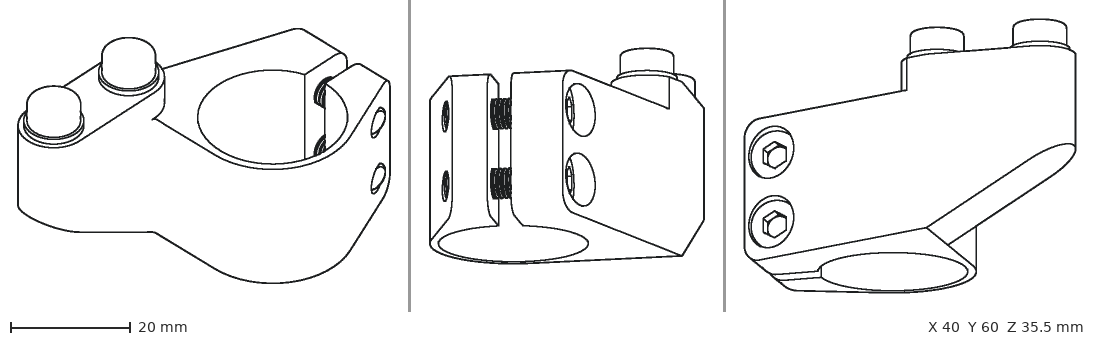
import cadquery as cq
import math

ring_x = 26.0
ring_outer_radius = 14.0
ring_bore_radius = 12.55
clamp_height = 24.5
clamp_back_y = 60.0
clamp_back_right_x = 32.0
slit_width = 4.0
back_corner_radius = 3.0

arm_width = 12.0
arm_height = 30.0
arm_radius = arm_width / 2
arm_front_y = arm_radius
arm_back_y = 24.0
side_lean_angle = 20.0
underside_angle = 30.0
side_blend_radius = 3.0
inner_corner_radius = 0.5
ring_y = arm_back_y + ring_outer_radius

collar_radius = 5.05
collar_height = 1.0
cap_radius = 4.5
cap_side_top = 4.55
cap_shoulder_radius = 4.1
cap_shoulder_top = 5.1
button_height = 5.5

screw_y = 54.65
screw_spacing = 12.0
screw_x = 13.0
head_radius = 4.25
head_height = 5.0
head_edge_radius = 0.55
hex_sides = 6
hex_width = 4.0
hex_depth = 2.5
hex_cone_depth = 0.9
thread_radius = 2.5
thread_root_radius = 2.1
shank_length = 16.0
thread_grooves = 19
thread_pitch = shank_length / (thread_grooves + 1)
neck_length = thread_pitch / 2
crest_width = 0.2
root_width = 0.2
flank_width = (thread_pitch - crest_width - root_width) / 2
counterbore_radius = 4.45

head_seat_x = screw_x + head_height
screw_heights = [clamp_height / 2 - screw_spacing / 2, clamp_height / 2 + screw_spacing / 2]


def ring_tangent_point():
    """Where the straight right flank from the back corner meets the ring's outer circle."""
    dx = clamp_back_right_x - ring_x
    dy = clamp_back_y - ring_y
    distance = math.hypot(dx, dy)
    angle = math.atan2(dy, dx) - math.acos(ring_outer_radius / distance)
    return (
        ring_x + ring_outer_radius * math.cos(angle),
        ring_y + ring_outer_radius * math.sin(angle),
    )


def make_footprint(height):
    """Outline of clamp and arm together, extruded from Z = 0."""
    lean = (clamp_back_y - arm_back_y) * math.tan(math.radians(side_lean_angle))
    ring_mid = ring_outer_radius * math.cos(math.pi / 4)
    footprint = (
        cq.Workplane("XY")
        .moveTo(0, arm_front_y)
        .threePointArc((arm_radius, arm_front_y - arm_radius), (arm_width, arm_front_y))
        .lineTo(arm_width, arm_back_y)
        .lineTo(ring_x, arm_back_y)
        .threePointArc((ring_x + ring_mid, ring_y - ring_mid), ring_tangent_point())
        .lineTo(clamp_back_right_x, clamp_back_y)
        .lineTo(lean, clamp_back_y)
        .lineTo(0, arm_back_y)
        .close()
        .extrude(height)
    )
    side_edge = cq.selectors.NearestToPointSelector((0, arm_back_y, height / 2))
    inner_edge = cq.selectors.NearestToPointSelector((arm_width, arm_back_y, height / 2))
    footprint = footprint.edges(side_edge).fillet(side_blend_radius)
    return footprint.edges(inner_edge).fillet(inner_corner_radius)


def make_raised_arm():
    """Round-ended arm at full height, trimmed by the leaning left side of the clamp."""
    straight_length = arm_back_y - arm_front_y
    stadium = (
        cq.Workplane("XY")
        .center(arm_radius, (arm_front_y + arm_back_y) / 2)
        .slot2D(straight_length + arm_width, arm_width, 90)
        .extrude(arm_height)
    )
    return stadium.intersect(make_footprint(arm_height))


def make_underside_wedge():
    """Material below the arm's sloping underside."""
    slope_rise = arm_back_y * math.tan(math.radians(underside_angle))
    return (
        cq.Workplane("YZ")
        .polyline([(arm_back_y, 0), (0, slope_rise), (0, 0)])
        .close()
        .extrude(arm_width + inner_corner_radius)
    )


def make_slit():
    """Gap between the two jaws, from the ring's centre out through the back."""
    return cq.Workplane("XY").box(
        slit_width, clamp_back_y - ring_y, clamp_height, centered=False
    ).translate((ring_x - slit_width, ring_y, 0))


def make_screw_bore(height):
    """Counterbored through hole for one clamp screw."""
    axis_start = cq.Workplane("YZ").center(screw_y, height)
    hole = axis_start.circle(thread_radius).extrude(ring_x + ring_outer_radius)
    counterbore = axis_start.circle(counterbore_radius).extrude(head_seat_x)
    return hole.union(counterbore)


def make_housing():
    clamp = make_footprint(clamp_height)
    clamp = clamp.faces(">Y").edges("|X").fillet(back_corner_radius)
    ring_bore = cq.Workplane("XY").center(ring_x, ring_y).circle(ring_bore_radius).extrude(clamp_height)
    body = clamp.union(make_raised_arm())
    body = body.cut(make_underside_wedge()).cut(ring_bore).cut(make_slit())
    for height in screw_heights:
        body = body.cut(make_screw_bore(height))
    return body


def make_button(y):
    """Collared round button with a domed top, standing on the arm."""
    dome_rise = button_height - cap_shoulder_top
    dome_radius = (cap_shoulder_radius**2 + dome_rise**2) / (2 * dome_rise)
    dome_mid_x = cap_shoulder_radius / 2
    dome_mid_z = button_height - dome_radius + math.sqrt(dome_radius**2 - dome_mid_x**2)
    return (
        cq.Workplane("XZ")
        .lineTo(collar_radius, 0)
        .lineTo(collar_radius, collar_height)
        .lineTo(cap_radius, collar_height)
        .lineTo(cap_radius, cap_side_top)
        .tangentArcPoint((cap_shoulder_radius, cap_shoulder_top), relative=False)
        .threePointArc((dome_mid_x, dome_mid_z), (0, button_height))
        .close()
        .revolve(360, (0, 0), (0, 1))
        .translate((arm_radius, y, arm_height))
    )


def make_threaded_shank():
    """Shank along +X from the origin, with a short neck, ring-shaped thread grooves and a chamfered tip."""
    profile = cq.Workplane("XY").lineTo(0, thread_radius).lineTo(neck_length, thread_radius)
    for groove in range(thread_grooves):
        root_start = neck_length + groove * thread_pitch + flank_width
        root_end = root_start + root_width
        crest_start = root_end + flank_width
        profile = (
            profile.lineTo(root_start, thread_root_radius)
            .lineTo(root_end, thread_root_radius)
            .lineTo(crest_start, thread_radius)
            .lineTo(crest_start + crest_width, thread_radius)
        )
    return (
        profile.lineTo(shank_length, thread_root_radius)
        .lineTo(shank_length, 0)
        .close()
        .revolve(360, (0, 0), (1, 0))
    )


def make_screw(height):
    """Socket-head clamp screw with its head towards -X."""
    head = cq.Workplane("YZ").circle(head_radius).extrude(head_height)
    head = head.faces("<X").edges().fillet(head_edge_radius)
    hex_corner_diameter = hex_width / math.cos(math.pi / hex_sides)
    socket = (
        cq.Workplane("YZ")
        .transformed(rotate=(0, 0, 90))
        .polygon(hex_sides, hex_corner_diameter)
        .extrude(hex_depth)
    )
    cone = cq.Workplane(
        cq.Solid.makeCone(hex_width / 2, 0, hex_cone_depth, cq.Vector(hex_depth, 0, 0), cq.Vector(1, 0, 0))
    )
    shank = make_threaded_shank().translate((head_height, 0, 0))
    screw = head.union(shank).cut(socket).cut(cone)
    return screw.translate((screw_x, screw_y, height))


housing = make_housing()
buttons = [make_button(y) for y in (arm_front_y, arm_back_y)]
screws = [make_screw(height) for height in screw_heights]

result = cq.Compound.makeCompound(
    [body.solids().val() for body in [housing, *buttons, *screws]]
)